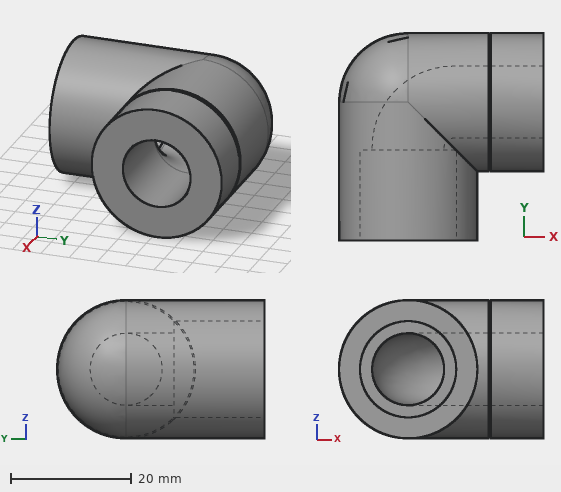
import cadquery as cq

outer_diameter = 23.0
bore_diameter = 11.97
bend_radius = 7.5
socket_diameter = 16.0
socket_depth = 15.0
total_x = 34.0
total_y = 34.5
groove_start = 13.3
groove_width = 0.5
groove_depth = 0.25

outer_radius = outer_diameter / 2
x_leg_length = total_x - outer_radius
y_leg_length = total_y - outer_radius


def rod_along_x(diameter, length):
    """Round rod from the corner towards +X."""
    return cq.Workplane("YZ").circle(diameter / 2).extrude(length)


def rod_along_minus_y(diameter, length):
    """Round rod from the corner towards -Y."""
    return cq.Workplane("XZ").circle(diameter / 2).extrude(length)


def body():
    """Two perpendicular rods joined by a ball at the corner."""
    ball = cq.Workplane("XY").sphere(outer_radius)
    x_rod = rod_along_x(outer_diameter, x_leg_length)
    y_rod = rod_along_minus_y(outer_diameter, y_leg_length)
    return x_rod.union(y_rod).union(ball)


def passage():
    """Round bore that runs from the Y end to the X end through a smooth bend."""
    quarter_bend = (
        cq.Workplane("XZ", origin=(0, -bend_radius, 0))
        .circle(bore_diameter / 2)
        .revolve(90, (bend_radius, 0, 0), (bend_radius, -1, 0))
    )
    x_bore = rod_along_x(bore_diameter, x_leg_length - bend_radius)
    x_bore = x_bore.translate((bend_radius, 0, 0))
    y_bore = rod_along_minus_y(bore_diameter, y_leg_length - bend_radius)
    y_bore = y_bore.translate((0, -bend_radius, 0))
    return quarter_bend.union(x_bore).union(y_bore)


def socket():
    """Wide, flat-bottomed recess in the end of the Y leg."""
    floor_distance = y_leg_length - socket_depth
    recess = rod_along_minus_y(socket_diameter, socket_depth)
    return recess.translate((0, -floor_distance, 0))


def groove():
    """V-shaped ring groove around the X leg."""
    profile = (
        cq.Workplane("XY")
        .moveTo(groove_start, outer_radius)
        .lineTo(groove_start + groove_width / 2, outer_radius - groove_depth)
        .lineTo(groove_start + groove_width, outer_radius)
        .lineTo(groove_start + groove_width, outer_radius + groove_depth)
        .lineTo(groove_start, outer_radius + groove_depth)
        .close()
    )
    return profile.revolve(360, (0, 0, 0), (1, 0, 0))


result = body()
result = result.cut(passage())
result = result.cut(socket())
result = result.cut(groove())